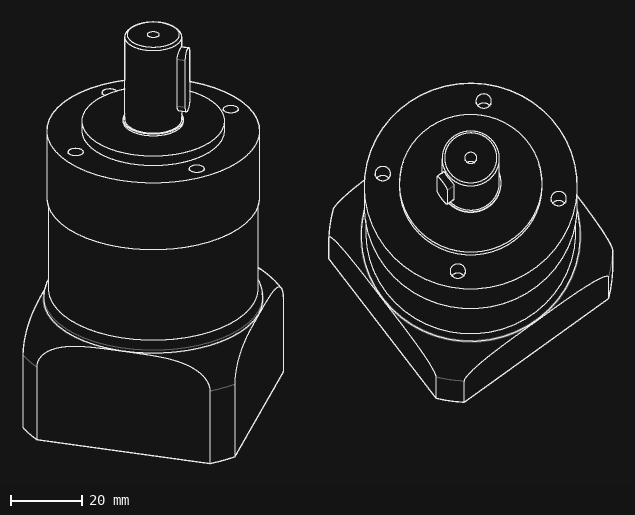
import cadquery as cq
import math

base_top = 32.5
ring_top = 35.9
body_top = 65.4
head_top = 87.0
pilot_top = 90.0
collar_top = 90.6
shaft_top = 118.0

base_width = 62.0
base_corner_radius = 40.0
base_rounding = 9.0

ring_radius = 30.8
ring_rounding = 2.5
body_radius = 29.5
head_radius = 30.0
pilot_radius = 20.1
collar_radius = 8.5
shaft_radius = 8.0
shaft_chamfer = 0.7

key_width = 5.0
key_length = 20.1
key_bottom = 94.9
key_outer_x = 10.0

tip_angle = 118
bolt_circle_radius = 25.0
bolt_hole_diameter = 4.2
bolt_hole_depth = 10.0
centre_hole_diameter = 3.3
centre_hole_depth = 10.0
bolt_count = 4
first_bolt_angle = 45

access_diameter = 7.9
access_y = -10.0
access_z = 11.6
hub_radius = 14.0


def disc(radius, bottom, top):
    """Upright cylinder on the main axis between two heights."""
    return cq.Workplane("XY").workplane(offset=bottom).circle(radius).extrude(top - bottom)


def square_base():
    """Square block trimmed by a large cylinder whose top edge is rounded."""
    block = cq.Workplane("XY").box(base_width, base_width, base_top, centered=(True, True, False))
    rounded_disc = disc(base_corner_radius, 0, base_top).faces(">Z").edges().fillet(base_rounding)
    return block.intersect(rounded_disc)


def shaft_key():
    """Round-ended key standing along the shaft on its +X side."""
    return (
        cq.Workplane("YZ")
        .center(0, key_bottom + key_length / 2)
        .slot2D(key_length, key_width, 90)
        .extrude(key_outer_x)
    )


def drilled_hole(x, y, top, diameter, depth):
    """Cutter for a hole drilled down from the height top, with a conical tip below its full depth."""
    radius = diameter / 2
    tip_length = radius / math.tan(math.radians(tip_angle / 2))
    profile = (
        cq.Workplane("XZ")
        .moveTo(0, top)
        .lineTo(radius, top)
        .lineTo(radius, top - depth)
        .lineTo(0, top - depth - tip_length)
        .close()
    )
    return profile.revolve(360, (0, 0, 0), (0, 1, 0)).translate((x, y, 0))


def access_hole():
    """Cutter for the side hole, stopping where it meets the clamp hub."""
    bore = (
        cq.Workplane("YZ")
        .workplane(offset=-base_width / 2)
        .center(access_y, access_z)
        .circle(access_diameter / 2)
        .extrude(base_width / 2)
    )
    return bore.cut(disc(hub_radius, 0, base_top))


ring = disc(ring_radius, base_top, ring_top).faces(">Z").edges().fillet(ring_rounding)
shaft = disc(shaft_radius, collar_top, shaft_top).faces(">Z").edges().chamfer(shaft_chamfer)
result = (
    square_base()
    .union(ring)
    .union(disc(body_radius, ring_top, body_top))
    .union(disc(head_radius, body_top, head_top))
    .union(disc(pilot_radius, head_top, pilot_top))
    .union(disc(collar_radius, pilot_top, collar_top))
    .union(shaft)
    .union(shaft_key())
)

for index in range(bolt_count):
    angle = math.radians(first_bolt_angle + index * 360 / bolt_count)
    hole_x = bolt_circle_radius * math.cos(angle)
    hole_y = bolt_circle_radius * math.sin(angle)
    result = result.cut(drilled_hole(hole_x, hole_y, head_top, bolt_hole_diameter, bolt_hole_depth))

result = result.cut(drilled_hole(0, 0, shaft_top, centre_hole_diameter, centre_hole_depth))
result = result.cut(access_hole())